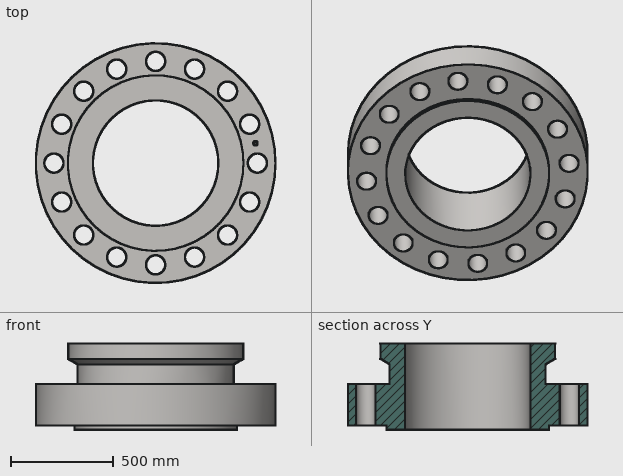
import cadquery as cq
import math

overall_height = 420.7
raised_face_height = 20.6
flange_thickness = 203.2
rim_height = 75.0
rim_taper_height = 27.0

flange_diameter = 1168.4
raised_face_diameter = 793.8
neck_diameter = 763.0
rim_diameter = 855.0
bore_diameter = 609.6

neck_fillet_radius = 1.0

bolt_count = 16
bolt_circle_diameter = 990.6
bolt_hole_diameter = 92.1

small_hole_outer_diameter = 22.0
small_hole_inner_diameter = 15.0
small_hole_outer_depth = 20.0
small_hole_depth = 40.0

flange_top = raised_face_height + flange_thickness
rim_bottom = overall_height - rim_height
taper_bottom = rim_bottom - rim_taper_height
bolt_pitch_angle = 360.0 / bolt_count
bolt_circle_radius = bolt_circle_diameter / 2


def make_body():
    """Revolve the half section of the flange, neck, flared rim and bore about Z."""
    bore_radius = bore_diameter / 2
    raised_face_radius = raised_face_diameter / 2
    flange_radius = flange_diameter / 2
    neck_radius = neck_diameter / 2
    rim_radius = rim_diameter / 2
    fillet_center_radius = neck_radius + neck_fillet_radius
    fillet_center_height = flange_top + neck_fillet_radius
    fillet_middle_offset = neck_fillet_radius * math.sqrt(0.5)
    fillet_middle = (
        fillet_center_radius - fillet_middle_offset,
        fillet_center_height - fillet_middle_offset,
    )
    half_section = (
        cq.Workplane("XZ")
        .moveTo(bore_radius, 0)
        .lineTo(raised_face_radius, 0)
        .lineTo(raised_face_radius, raised_face_height)
        .lineTo(flange_radius, raised_face_height)
        .lineTo(flange_radius, flange_top)
        .lineTo(fillet_center_radius, flange_top)
        .threePointArc(fillet_middle, (neck_radius, fillet_center_height))
        .lineTo(neck_radius, taper_bottom)
        .lineTo(rim_radius, rim_bottom)
        .lineTo(rim_radius, overall_height)
        .lineTo(bore_radius, overall_height)
        .close()
    )
    return half_section.revolve(360, (0, 0), (0, 1))


def cut_bolt_holes(body):
    """Drill the ring of bolt holes straight through the flange, the first one on +X."""
    holes = (
        cq.Workplane("XY")
        .polarArray(bolt_circle_radius, 0, 360, bolt_count)
        .circle(bolt_hole_diameter / 2)
        .extrude(flange_top)
    )
    return body.cut(holes)


def cut_small_hole(body):
    """Sink the stepped blind hole into the flange top, half a pitch round from +X."""
    angle = math.radians(bolt_pitch_angle / 2)
    center = (bolt_circle_radius * math.cos(angle), bolt_circle_radius * math.sin(angle))
    flange_face = cq.Workplane("XY").workplane(offset=flange_top).center(*center)
    wide_part = flange_face.circle(small_hole_outer_diameter / 2).extrude(-small_hole_outer_depth)
    narrow_part = flange_face.circle(small_hole_inner_diameter / 2).extrude(-small_hole_depth)
    return body.cut(wide_part).cut(narrow_part)


result = cut_small_hole(cut_bolt_holes(make_body()))